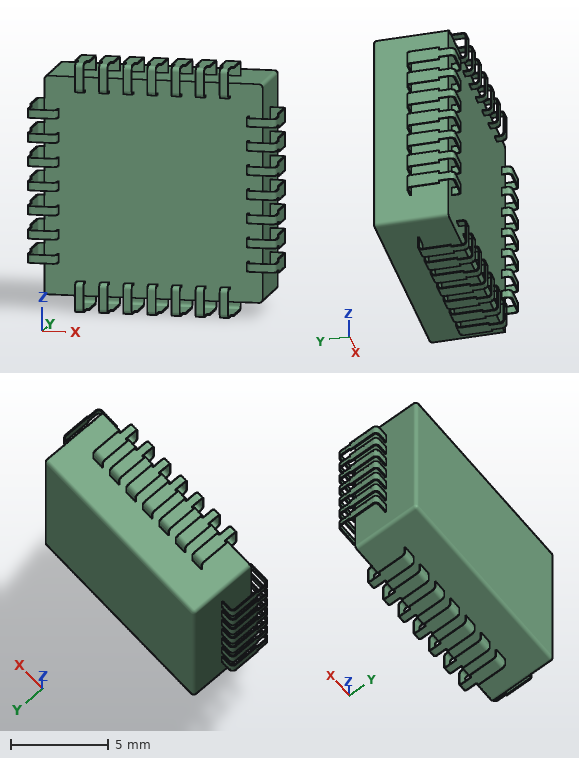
import cadquery as cq

overall_span = 13.05
overall_depth = 4.53

body_span = 11.46
standoff = 0.52
side_edge_radius = 0.2
back_edge_radius = 0.2

leads_per_side = 7
lead_pitch = 1.27
lead_thickness = 0.07
lead_bend_radius = 0.23
lead_height = 2.56
foot_length = 1.55
wide_width = 0.72
narrow_width = 0.45
shoulder_height = 0.81
embed = 0.13

body_half = body_span / 2
overall_half = overall_span / 2
body_depth = overall_depth - standoff


def make_body():
    """Square block with rounded side edges and a rounded back rim."""
    block = cq.Workplane("XY").box(body_span, body_depth, body_span)
    block = block.translate((0, standoff + body_depth / 2, 0))
    block = block.edges("|Y").fillet(side_edge_radius)
    return block.faces(">Y").edges().fillet(back_edge_radius)


def make_lead():
    """J-lead on the +X side at Z = 0: out of the body, down, in under it and up to its front face."""
    root_x = body_half - embed
    tip_x = overall_half - foot_length
    tip_y = standoff
    inner_radius = lead_bend_radius - lead_thickness

    inner_x = overall_half - lead_thickness
    inner_y = lead_height - lead_thickness
    inner_tip_x = tip_x + lead_thickness

    outer_bends = [(overall_half, lead_height), (overall_half, 0), (tip_x, 0)]
    inner_bends = [(inner_tip_x, lead_thickness), (inner_x, lead_thickness), (inner_x, inner_y)]
    root_end = [(root_x, inner_y), (root_x, lead_height)]
    tip_end = [(tip_x, tip_y), (inner_tip_x, tip_y)]

    strip = (
        cq.Workplane("XY")
        .polyline(root_end + outer_bends + tip_end + inner_bends)
        .close()
        .extrude(wide_width / 2, both=True)
    )
    for bends, radius in ((outer_bends, lead_bend_radius), (inner_bends, inner_radius)):
        for x, y in bends:
            strip = strip.edges(cq.NearestToPointSelector((x, y, 0))).fillet(radius)

    trim_width = (wide_width - narrow_width) / 2
    trim_z = (narrow_width + trim_width) / 2
    for side in (-1, 1):
        trim = cq.Workplane("XY").box(overall_span, shoulder_height, trim_width)
        strip = strip.cut(trim.translate((overall_half, shoulder_height / 2, side * trim_z)))
    return strip


lead = make_lead()
result = make_body()

for quarter in range(4):
    for index in range(leads_per_side):
        offset = (index - (leads_per_side - 1) / 2) * lead_pitch
        placed = lead.translate((0, 0, offset)).rotate((0, 0, 0), (0, 1, 0), 90 * quarter)
        result = result.union(placed)